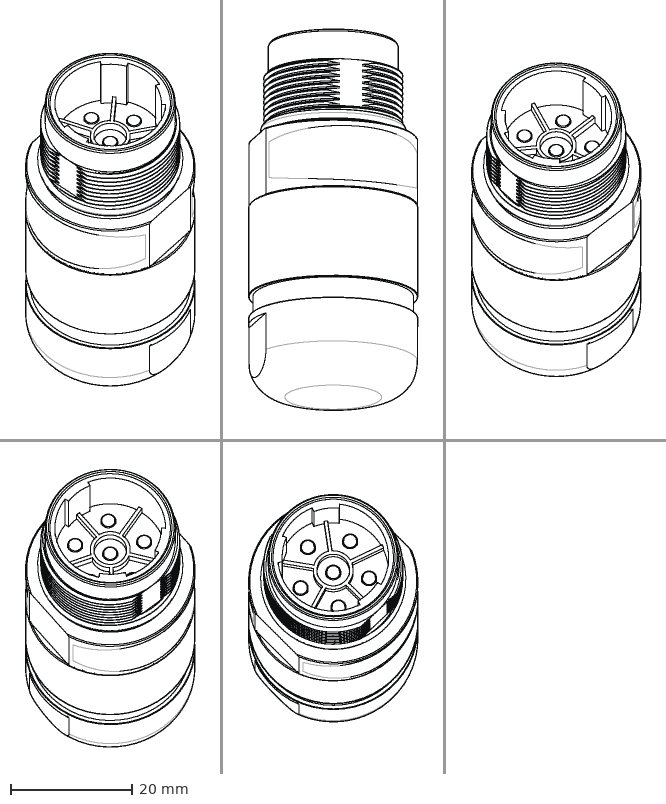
import cadquery as cq
import math

body_radius = 14.0
total_height = 60.1
flat_distance = 13.0
edge_chamfer = 0.2

dome_radius = 6.0
nut_flat_top = 12.2
nut_top = 13.5
nut_chamfer = 0.1

groove_radius = 13.3
sleeve_bottom = 17.1
sleeve_top = 32.5

grip_top = 43.85
dish_z = 38.15
dish_depth = 1.0
dish_mid_half_height = 4.65
dish_end_half_height = 3.3
dish_end_x = 12.7

o_ring_z = 45.5
o_ring_section_radius = 0.72
o_ring_outer_radius = 12.0
gland_radius = 10.9
gland_width = 1.5
collar_chamfer = 0.2
thread_radius = 11.5
thread_pitch = 1.0
thread_root_radius = 10.93
thread_start_angle = 45.0
thread_start_z = 45.975
thread_crest_width = 0.12
thread_root_width = 0.25
thread_top = 55.0
thread_flat_bottom = 46.95
tube_radius = 10.75
tube_chamfer_height = 0.35
tube_chamfer_width = 0.2

bore_radius = 9.15
bore_depth = 10.25
key_inner_radius = 8.45
key_spans = ((39.0, 68.0), (112.0, 141.0), (254.5, 285.5))
rim_recess_mouth_radius = 10.2
rim_recess_floor_radius = 9.95
rim_recess_depth = 0.3
insert_rib_height = 1.6
insert_rib_width = 0.6
hub_inner_radius = 2.7
hub_outer_radius = 3.3
contact_count = 5
contact_circle_radius = 6.0
contact_radius = 1.1
contact_gap_radius = 1.25
contact_gap_depth = 1.0
contact_height = 0.15

bore_floor = total_height - bore_depth
overlap = 0.5
outside_radius = body_radius + 2.0


def cylinder(radius, bottom, top):
    return cq.Workplane("XY").workplane(offset=bottom).circle(radius).extrude(top - bottom)


def sector(inner_radius, outer_radius, start, end, bottom, top):
    """Ring sector between two angles in degrees."""

    def at(radius, angle):
        return radius * math.cos(math.radians(angle)), radius * math.sin(math.radians(angle))

    middle = (start + end) / 2
    return (
        cq.Workplane("XY")
        .workplane(offset=bottom)
        .moveTo(*at(inner_radius, start))
        .lineTo(*at(outer_radius, start))
        .threePointArc(at(outer_radius, middle), at(outer_radius, end))
        .lineTo(*at(inner_radius, end))
        .threePointArc(at(inner_radius, middle), at(inner_radius, start))
        .close()
        .extrude(top - bottom)
    )


def flats(axis_direction, distance, bottom, top):
    """Pair of cutters that leave flats at +/- distance along X or Y."""
    thickness = outside_radius - distance
    width = 2 * outside_radius
    x_size, y_size = (thickness, width) if axis_direction == "X" else (width, thickness)
    cutters = cq.Workplane("XY")
    for side in (-1, 1):
        offset = side * (distance + thickness / 2)
        position = (offset, 0, bottom) if axis_direction == "X" else (0, offset, bottom)
        block = cq.Workplane("XY").box(x_size, y_size, top - bottom, centered=(True, True, False))
        cutters = cutters.add(block.translate(position))
    return cutters.combine()


def turned_body():
    """Outer shape as one revolved profile, from the domed end to the tube rim."""
    dome_flat = body_radius - dome_radius
    dome_mid = dome_radius * math.sin(math.radians(45))
    return (
        cq.Workplane("XZ")
        .moveTo(0, 0)
        .lineTo(dome_flat, 0)
        .threePointArc((dome_flat + dome_mid, dome_radius - dome_mid), (body_radius, dome_radius))
        .lineTo(body_radius, nut_top - nut_chamfer)
        .lineTo(body_radius - nut_chamfer, nut_top)
        .lineTo(groove_radius, nut_top)
        .lineTo(groove_radius, sleeve_bottom)
        .lineTo(body_radius - nut_chamfer, sleeve_bottom)
        .lineTo(body_radius, sleeve_bottom + nut_chamfer)
        .lineTo(body_radius, grip_top - edge_chamfer)
        .lineTo(body_radius - edge_chamfer, grip_top)
        .lineTo(tube_radius, grip_top)
        .lineTo(tube_radius, total_height - tube_chamfer_height)
        .lineTo(tube_radius - tube_chamfer_width, total_height)
        .lineTo(0, total_height)
        .close()
        .revolve(360, (0, 0, 0), (0, 1, 0))
    )


def sleeve_edge():
    """Shallow V ring cut that marks the step from the sleeve to the grip."""
    return (
        cq.Workplane("XZ")
        .moveTo(body_radius, sleeve_top - edge_chamfer)
        .lineTo(body_radius, sleeve_top)
        .lineTo(body_radius - edge_chamfer, sleeve_top)
        .close()
        .revolve(360, (0, 0, 0), (0, 1, 0))
    )


def finger_dish(facing_angle):
    """Cutter for a dish: deepest in its middle and running out to nothing at both ends."""
    end_angle = math.degrees(math.asin(dish_end_x / body_radius))
    sections = []
    for step in (-1.0, -0.5, 0.0, 0.5, 1.0):
        fade = 1 - step ** 2
        depth = dish_depth * fade
        half_height = dish_end_half_height + (dish_mid_half_height - dish_end_half_height) * fade
        angle = math.radians(facing_angle + step * end_angle)
        radial = cq.Vector(math.cos(angle), math.sin(angle), 0)

        def at(radius, height):
            return radial * radius + cq.Vector(0, 0, dish_z + height)

        low = at(body_radius, -half_height)
        deep = at(body_radius - depth, 0)
        high = at(body_radius, half_height)
        low_out = at(outside_radius, -half_height)
        high_out = at(outside_radius, half_height)
        edges = [
            cq.Edge.makeSpline([low, deep, high]) if depth > 0 else cq.Edge.makeLine(low, high),
            cq.Edge.makeLine(high, high_out),
            cq.Edge.makeLine(high_out, low_out),
            cq.Edge.makeLine(low_out, low),
        ]
        sections.append(cq.Wire.assembleEdges(edges))
    return cq.Workplane(cq.Solid.makeLoft(sections))


def thread_groove():
    """V groove swept along a right-hand helix that runs out past the top of the thread."""
    height = thread_top + thread_pitch - thread_start_z
    helix = cq.Wire.makeHelix(thread_pitch, height, thread_root_radius)
    half_root = thread_root_width / 2
    half_mouth = (thread_pitch - thread_crest_width) / 2
    slope = (half_mouth - half_root) / (thread_radius - thread_root_radius)
    outer_radius = thread_radius + thread_crest_width / 4
    half_outer = half_root + slope * (outer_radius - thread_root_radius)
    profile = (
        cq.Workplane("XZ")
        .moveTo(thread_root_radius, -half_root)
        .lineTo(outer_radius, -half_outer)
        .lineTo(outer_radius, half_outer)
        .lineTo(thread_root_radius, half_root)
        .close()
    )
    groove = profile.sweep(cq.Workplane(helix), isFrenet=True)
    return groove.rotate((0, 0, 0), (0, 0, 1), thread_start_angle).translate((0, 0, thread_start_z))


def threaded_collar():
    """Collar above the grip with O-ring gland and thread, flattened on the two Y sides."""
    gland_bottom = o_ring_z - gland_width / 2
    gland_top = o_ring_z + gland_width / 2
    thread = cylinder(thread_radius, gland_top, thread_top).cut(thread_groove())
    thread = thread.cut(flats("Y", tube_radius, thread_flat_bottom, thread_top + thread_pitch))
    collar = cylinder(thread_radius, grip_top, gland_bottom).faces(">Z").chamfer(collar_chamfer)
    gland = cylinder(gland_radius, gland_bottom, gland_top)
    return thread.union(gland).union(collar)


def o_ring():
    centre_radius = o_ring_outer_radius - o_ring_section_radius
    return (
        cq.Workplane("XZ")
        .center(centre_radius, o_ring_z)
        .circle(o_ring_section_radius)
        .revolve(360, (-centre_radius, 0, 0), (-centre_radius, 1, 0))
    )


def socket():
    """Bore cavity, less the coding keys along its wall, with the recess in its rim."""
    cavity = cylinder(bore_radius, bore_floor, total_height)
    for start, end in key_spans:
        cavity = cavity.cut(
            sector(key_inner_radius, bore_radius + overlap, start, end, bore_floor, total_height)
        )
    recess = (
        cq.Workplane("XZ")
        .moveTo(0, total_height)
        .lineTo(rim_recess_mouth_radius, total_height)
        .lineTo(rim_recess_floor_radius, total_height - rim_recess_depth)
        .lineTo(0, total_height - rim_recess_depth)
        .close()
        .revolve(360, (0, 0, 0), (0, 1, 0))
    )
    return cavity.union(recess)


def insert_ribs():
    """Raised hub ring and the radial walls that separate the contacts."""
    bottom = bore_floor - overlap
    top = bore_floor + insert_rib_height
    ribs = cylinder(hub_outer_radius, bottom, top)
    spacing = 360 / contact_count
    rib_length = bore_radius + overlap
    for index in range(contact_count):
        rib = (
            cq.Workplane("XY")
            .workplane(offset=bottom)
            .center(rib_length / 2, 0)
            .rect(rib_length, insert_rib_width)
            .extrude(top - bottom)
            .rotate((0, 0, 0), (0, 0, 1), 90 + (index + 0.5) * spacing)
        )
        ribs = ribs.union(rib)
    return ribs.cut(cylinder(hub_inner_radius, bottom, top))


def with_contact(body, x, y):
    """Add a contact stub at (x, y) inside its ring-shaped clearance."""
    gap_bottom = bore_floor - contact_gap_depth
    gap = cylinder(contact_gap_radius, gap_bottom, bore_floor)
    stub = cylinder(contact_radius, gap_bottom - overlap, bore_floor + contact_height)
    return body.cut(gap.translate((x, y, 0))).union(stub.translate((x, y, 0)))


def contact_positions():
    positions = [(0, 0)]
    for index in range(contact_count):
        angle = math.radians(90 + index * 360 / contact_count)
        positions.append((contact_circle_radius * math.cos(angle), contact_circle_radius * math.sin(angle)))
    return positions


part = turned_body()
part = part.cut(flats("X", flat_distance, 0, nut_flat_top))
part = part.cut(flats("X", flat_distance, sleeve_top, grip_top))
for facing in (-90, 90):
    part = part.cut(finger_dish(facing))
part = part.cut(sleeve_edge())
part = part.union(threaded_collar())
part = part.union(o_ring())
part = part.cut(socket())
part = part.union(insert_ribs())
for contact_x, contact_y in contact_positions():
    part = with_contact(part, contact_x, contact_y)

result = part